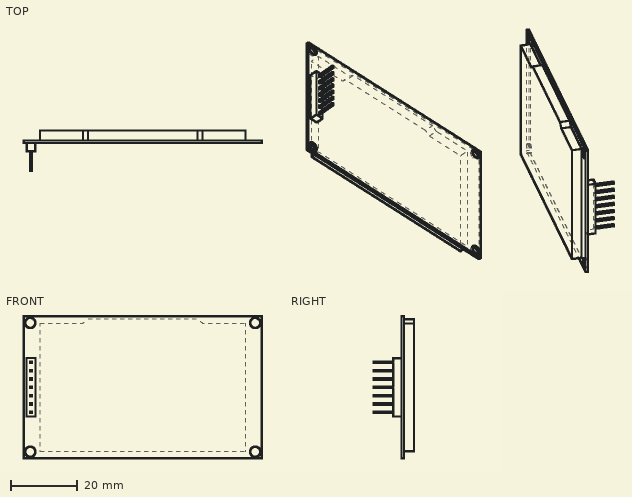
import cadquery as cq

board_length = 72.0
board_height = 43.0
board_thickness = 0.8
hole_diameter = 3.0
hole_inset = 2.0

panel_length = 62.2
panel_thickness = 3.0
panel_edge_margin = 2.15
tab_base_length = 36.2
tab_height = 1.3
tab_bevel_run = 1.6

pin_count = 7
pin_pitch = 2.5
pin_size = 0.5
pin_length = 6.0
header_width = 2.6
header_depth = 2.5
header_left = 0.9

board_mid_height = board_height / 2
panel_bottom = panel_edge_margin
panel_top = board_height - panel_edge_margin
panel_mid = board_length / 2
panel_left = panel_mid - panel_length / 2
panel_right = panel_mid + panel_length / 2
header_mid = header_left + header_width / 2
header_length = pin_count * pin_pitch


def box_between(low, high):
    """Box spanning two opposite corners."""
    size = [b - a for a, b in zip(low, high)]
    return cq.Workplane("XY").box(*size, centered=False).translate(low)


def make_board():
    """Thin rectangular board with a mounting hole near each corner."""
    board = box_between((0, 0, 0), (board_length, board_thickness, board_height))
    hole_centers = [
        (x, z)
        for x in (hole_inset, board_length - hole_inset)
        for z in (hole_inset, board_height - hole_inset)
    ]
    holes = (
        cq.Workplane("XZ")
        .pushPoints(hole_centers)
        .circle(hole_diameter / 2)
        .extrude(-board_thickness)
    )
    return board.cut(holes)


def make_panel():
    """Display slab whose outline rises into a trapezoidal tab."""
    tab_base_half = tab_base_length / 2
    tab_top_half = tab_base_half - tab_bevel_run
    tab_top = panel_top + tab_height
    outline = [
        (panel_left, panel_bottom),
        (panel_right, panel_bottom),
        (panel_right, panel_top),
        (panel_mid + tab_base_half, panel_top),
        (panel_mid + tab_top_half, tab_top),
        (panel_mid - tab_top_half, tab_top),
        (panel_mid - tab_base_half, panel_top),
        (panel_left, panel_top),
    ]
    return (
        cq.Workplane("XZ", origin=(0, board_thickness, 0))
        .polyline(outline)
        .close()
        .extrude(-panel_thickness)
    )


def make_header():
    """Plastic strip with a single column of square pins."""
    strip = (
        cq.Workplane("XZ")
        .center(header_mid, board_mid_height)
        .rect(header_width, header_length)
        .extrude(header_depth)
    )
    pins = (
        cq.Workplane("XZ", origin=(0, -header_depth, 0))
        .center(header_mid, board_mid_height)
        .rarray(pin_pitch, pin_pitch, 1, pin_count)
        .rect(pin_size, pin_size)
        .extrude(pin_length)
    )
    return strip.union(pins)


result = make_board().union(make_panel()).union(make_header())